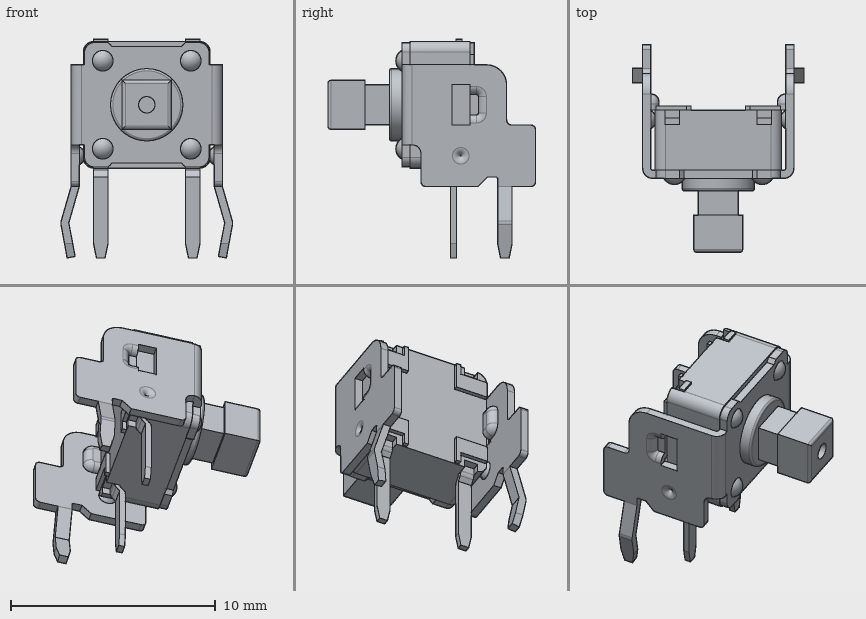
import cadquery as cq
import math


SHEET = 0.41
TOP = 3.21
BOTTOM = -7.49
TIP_LENGTH = 0.71
LEG_WIDTH = 0.72
LEG_TIP_WIDTH = 0.43

HOUSING_HALF = 3.1
HOUSING_CORNER = 0.54
HOUSING_REAR = 3.34
FOOT_REAR = 3.54
FOOT_OUTER_X = 3.04
FOOT_POST_X = 1.56
FOOT_INNER_X = 1.33
FOOT_POST_TOP = 3.04
FOOT_SHOULDER = 2.46
FOOT_LOWER_Z = 1.56
CONTACT_X = 2.25
CONTACT_SHEET = 0.3
CONTACT_FRONT = 2.64
CONTACT_STEP = 0.27
CONTACT_NOTCH_DEPTH = 0.43
STEP_TOP = -3.2
STEP_BOTTOM = -3.53
STEP_ROUND = 0.09

STAKE_PITCH = 4.3
STAKE_RADIUS = 0.5
STAKE_HEAD = 0.3

FRONT_HALF = 3.04
FRONT_CORNER = 0.47
RELIEF_OUTER = 1.88
RELIEF_INNER = 1.68
RELIEF_DEPTH = 0.2
SIDE_X = 3.7
BEND_OUTER = 0.5
SIDE_TOP = 1.96
SIDE_BOTTOM = -4.0
SIDE_UPPER_REAR = 5.13
SIDE_UPPER_CORNER = 1.0
SIDE_REAR = 6.54
SIDE_SHOULDER = -0.98
SIDE_CORNER = 0.25
SIDE_LOWER_FRONT = 0.93
SIDE_RELIEF_CORNER = 0.43
LEG_REAR = 5.39
GAP_TOP = -3.53
GAP_CORNER = 0.09
GAP_FRONT_TOP = 4.18
GAP_FRONT_BOTTOM = 3.71
KNEE_SPAN = 8.42
KNEE_X = KNEE_SPAN / 2
KNEE_Z = -5.77
TIP_X = 3.9

WINDOW_FRONT = 2.44
WINDOW_HALF = 0.98
TONGUE_REAR = 4.13
TONGUE_HALF = 0.89
TONGUE_CORNER = 0.48
TONGUE_BEND = 0.4

DIMPLE_Y = 2.88
DIMPLE_Z = -2.49
DISH_RADIUS = 0.41
DISH_FLOOR_RADIUS = 0.02
DOME_RADIUS = 0.45
DOME_HEIGHT = 0.27

FLANGE_RADIUS = 1.77
FLANGE_FRONT = -0.61
FLANGE_ROUND = 0.11
STEM_SIDE = 1.97
HEAD_SIDE = 2.4
HEAD_REAR = -1.8
HEAD_FRONT = -3.62
HEAD_ROUND = 0.15
HEAD_HOLE = 0.8
HEAD_HOLE_DEPTH = 0.32


def box(x, y, z):
    """Box between the given (low, high) limits."""
    return (
        cq.Workplane("XY")
        .box(x[1] - x[0], y[1] - y[0], z[1] - z[0], centered=False)
        .translate((x[0], y[0], z[0]))
    )


def front_prism(sketch, y_front, y_rear):
    """Extrude a sketch drawn on the XZ plane from y_front to y_rear."""
    return sketch.extrude(y_front - y_rear).translate((0, y_front, 0))


def mirrored(shape):
    """The shape and its mirror image across x = 0."""
    return shape.union(shape.mirror("YZ"))


def tapered_leg(plane, centre, top):
    """Sketch of a leg that narrows towards its tip, drawn on a vertical plane."""
    half = LEG_WIDTH / 2
    half_tip = LEG_TIP_WIDTH / 2
    taper_top = BOTTOM + TIP_LENGTH
    return cq.Workplane(plane).polyline([
        (centre - half, top),
        (centre - half, taper_top),
        (centre - half_tip, BOTTOM),
        (centre + half_tip, BOTTOM),
        (centre + half, taper_top),
        (centre + half, top),
    ]).close()


def dome_cap(base_radius, height):
    """Spherical cap on the plane y = 0, rising towards +Y."""
    sphere_radius = (base_radius**2 + height**2) / (2 * height)
    half_angle = math.asin(base_radius / sphere_radius) / 2
    middle = (
        sphere_radius * math.sin(half_angle),
        height - sphere_radius * (1 - math.cos(half_angle)),
    )
    profile = (
        cq.Workplane("XY")
        .lineTo(base_radius, 0)
        .threePointArc(middle, (0, height))
        .close()
    )
    return profile.revolve(360, (0, 0, 0), (0, 1, 0))


def front_plate():
    side = 2 * FRONT_HALF
    plate = front_prism(cq.Workplane("XZ").rect(side, side), 0, SHEET)
    plate = plate.edges("|Y").fillet(FRONT_CORNER)
    relief_sketch = cq.Workplane("XZ").polyline([
        (-RELIEF_OUTER, FRONT_HALF),
        (-RELIEF_INNER, FRONT_HALF - RELIEF_DEPTH),
        (RELIEF_INNER, FRONT_HALF - RELIEF_DEPTH),
        (RELIEF_OUTER, FRONT_HALF),
    ]).close()
    relief = front_prism(relief_sketch, 0, SHEET)
    return plate.cut(relief).cut(relief.mirror("XY"))


def side_outline():
    """Outline of a side plate, extruded across the whole bracket width."""
    leg_front = LEG_REAR - LEG_WIDTH
    turn = math.sqrt(0.5)
    upper_y = SIDE_UPPER_REAR - SIDE_UPPER_CORNER
    upper_z = SIDE_TOP - SIDE_UPPER_CORNER
    sketch = (
        cq.Workplane("YZ")
        .moveTo(0, SIDE_TOP)
        .lineTo(upper_y, SIDE_TOP)
        .threePointArc(
            (upper_y + SIDE_UPPER_CORNER * turn, upper_z + SIDE_UPPER_CORNER * turn),
            (SIDE_UPPER_REAR, upper_z),
        )
        .lineTo(SIDE_UPPER_REAR, SIDE_SHOULDER)
        .lineTo(SIDE_REAR, SIDE_SHOULDER)
        .lineTo(SIDE_REAR, SIDE_BOTTOM)
        .lineTo(leg_front, SIDE_BOTTOM)
        .lineTo(leg_front, GAP_TOP)
        .lineTo(GAP_FRONT_TOP, GAP_TOP)
        .lineTo(GAP_FRONT_BOTTOM, SIDE_BOTTOM)
        .lineTo(SIDE_LOWER_FRONT, SIDE_BOTTOM)
        .lineTo(SIDE_LOWER_FRONT, -SIDE_TOP)
        .lineTo(0, -SIDE_TOP)
        .close()
    )
    outline = sketch.extrude(SIDE_X, both=True)
    corners = [
        (SIDE_UPPER_REAR, SIDE_SHOULDER, SIDE_CORNER),
        (SIDE_REAR, SIDE_SHOULDER, SIDE_CORNER),
        (SIDE_REAR, SIDE_BOTTOM, SIDE_CORNER),
        (leg_front, GAP_TOP, GAP_CORNER),
        (SIDE_LOWER_FRONT, SIDE_BOTTOM, SIDE_CORNER),
        (SIDE_LOWER_FRONT, -SIDE_TOP, SIDE_RELIEF_CORNER),
    ]
    for y, z, radius in corners:
        outline = outline.edges(cq.NearestToPointSelector((0, y, z))).fillet(radius)
    return outline


def bent_channel():
    """Front wall and both side plates, bent from one sheet and trimmed to the side outline."""
    height = (SIDE_BOTTOM, SIDE_TOP)
    inner_x = SIDE_X - SHEET
    outer = box((-SIDE_X, SIDE_X), (0, SIDE_REAR), height).edges("|Z and <Y").fillet(BEND_OUTER)
    inner = box((-inner_x, inner_x), (SHEET, SIDE_REAR), height)
    inner = inner.edges("|Z and <Y").fillet(BEND_OUTER - SHEET)
    return outer.cut(inner).intersect(side_outline())


def tongue():
    """Left patch of sheet that is pressed inwards by one sheet thickness behind the window."""
    inner_x = -SIDE_X + SHEET
    floor_rear = TONGUE_REAR - TONGUE_BEND
    floor_half = TONGUE_HALF - TONGUE_BEND
    sheet = box((-SIDE_X, inner_x), (HOUSING_REAR, TONGUE_REAR + SHEET), (-WINDOW_HALF, WINDOW_HALF))
    pad = box((inner_x, inner_x + SHEET), (HOUSING_REAR, TONGUE_REAR), (-TONGUE_HALF, TONGUE_HALF))
    pad = pad.edges("|X and >Y").fillet(TONGUE_CORNER)
    pad = pad.faces(">X").edges("not <Y").fillet(TONGUE_BEND)
    pocket = box((-SIDE_X, inner_x), (HOUSING_REAR, floor_rear), (-floor_half, floor_half))
    pocket = pocket.edges("|X and >Y").fillet(TONGUE_CORNER - TONGUE_BEND)
    patch = sheet.union(pad).cut(pocket)
    margin = TONGUE_BEND / 10
    rim = cq.selectors.BoxSelector(
        (-SIDE_X - margin, HOUSING_REAR + margin, -floor_half - margin),
        (-SIDE_X + margin, floor_rear + margin, floor_half + margin),
    )
    return patch.edges(rim).fillet(TONGUE_BEND)


def bracket_leg():
    """Left leg, kinked outwards and back in so that it snaps into its hole."""
    outer_tip = (-TIP_X, BOTTOM)
    lean = math.atan2(KNEE_X - TIP_X, KNEE_Z - BOTTOM)
    inner_tip = (-TIP_X + SHEET * math.cos(lean), BOTTOM + SHEET * math.sin(lean))
    leg_centre = LEG_REAR - LEG_WIDTH / 2
    sketch = cq.Workplane("XZ").polyline([
        (-SIDE_X, SIDE_BOTTOM),
        (-KNEE_X, KNEE_Z),
        outer_tip,
        inner_tip,
        (-KNEE_X + SHEET, KNEE_Z),
        (-SIDE_X + SHEET, SIDE_BOTTOM),
    ]).close()
    leg = front_prism(sketch, LEG_REAR - LEG_WIDTH, LEG_REAR)
    leg = leg.edges(cq.NearestToPointSelector((-KNEE_X, leg_centre, KNEE_Z))).fillet(SHEET)
    taper = tapered_leg("YZ", leg_centre, SIDE_BOTTOM).extrude(KNEE_X, both=True)
    return leg.intersect(taper)


def on_left_dimple(shape, base_x):
    """Turn a shape built along +Y inwards onto the axis of the left dimple."""
    return shape.rotate((0, 0, 0), (0, 0, 1), -90).translate((base_x, DIMPLE_Y, DIMPLE_Z))


def dimple_dome():
    return on_left_dimple(dome_cap(DOME_RADIUS, DOME_HEIGHT), -SIDE_X + SHEET)


def dimple_dish():
    """Hollow of the left dimple: its wall rolls in from the outer face down to a small flat floor."""
    roll = DISH_RADIUS - DISH_FLOOR_RADIUS
    turn = math.sqrt(0.5)
    profile = (
        cq.Workplane("XY")
        .lineTo(DISH_RADIUS, 0)
        .threePointArc(
            (DISH_RADIUS - roll * turn, roll - roll * turn),
            (DISH_FLOOR_RADIUS, roll),
        )
        .lineTo(0, roll)
        .close()
    )
    return on_left_dimple(profile.revolve(360, (0, 0, 0), (0, 1, 0)), -SIDE_X)


def make_bracket():
    inner_x = -SIDE_X + SHEET
    window = box((-SIDE_X, inner_x), (WINDOW_FRONT, TONGUE_REAR + SHEET), (-WINDOW_HALF, WINDOW_HALF))
    bracket = front_plate().union(bent_channel())
    bracket = bracket.cut(mirrored(window))
    bracket = bracket.union(mirrored(tongue()))
    bracket = bracket.union(mirrored(dimple_dome())).cut(mirrored(dimple_dish()))
    bracket = bracket.union(mirrored(bracket_leg()))
    flange_hole = front_prism(cq.Workplane("XZ").circle(FLANGE_RADIUS), 0, SHEET)
    stake_holes = front_prism(
        cq.Workplane("XZ").rarray(STAKE_PITCH, STAKE_PITCH, 2, 2).circle(STAKE_RADIUS), 0, SHEET
    )
    return bracket.cut(flange_hole).cut(stake_holes)


def foot():
    """Upper left foot on the rear face: a low shoulder with a taller post at its inner end."""
    depth = (HOUSING_REAR, FOOT_REAR)
    shoulder = box((-FOOT_OUTER_X, -FOOT_INNER_X), depth, (FOOT_LOWER_Z, FOOT_SHOULDER))
    post = box((-FOOT_POST_X, -FOOT_INNER_X), depth, (FOOT_LOWER_Z, FOOT_POST_TOP))
    return shoulder.union(post)


def contact():
    """Left contact: a tab at the top and a leg at the bottom that steps forward."""
    rear = CONTACT_FRONT + CONTACT_SHEET
    sketch = cq.Workplane("YZ").polyline([
        (CONTACT_FRONT, TOP),
        (CONTACT_FRONT, STEP_TOP),
        (CONTACT_FRONT - CONTACT_STEP, STEP_BOTTOM),
        (CONTACT_FRONT - CONTACT_STEP, BOTTOM),
        (rear - CONTACT_STEP, BOTTOM),
        (rear - CONTACT_STEP, STEP_BOTTOM),
        (rear, STEP_TOP),
        (rear, TOP),
    ]).close()
    strip = sketch.extrude(-2 * CONTACT_X)
    for y, radius in ((CONTACT_FRONT, STEP_ROUND), (rear, STEP_ROUND + CONTACT_SHEET)):
        upper_bend = cq.NearestToPointSelector((-CONTACT_X, y, STEP_TOP))
        strip = strip.edges(upper_bend).fillet(radius)
    return strip.intersect(front_prism(tapered_leg("XZ", -CONTACT_X, TOP), 0, SIDE_REAR))


def stake():
    """Upper left stake: a shank through the bracket with a domed head."""
    shank = front_prism(cq.Workplane("XZ").circle(STAKE_RADIUS), 0, SHEET)
    head = dome_cap(STAKE_RADIUS, STAKE_HEAD).mirror("XZ")
    return shank.union(head).translate((-STAKE_PITCH / 2, 0, STAKE_PITCH / 2))


def make_housing():
    side = 2 * HOUSING_HALF
    housing = front_prism(cq.Workplane("XZ").rect(side, side), SHEET, HOUSING_REAR)
    housing = housing.edges("|Y").fillet(HOUSING_CORNER)
    contact_notch = box(
        (-CONTACT_X - LEG_WIDTH / 2, -CONTACT_X + LEG_WIDTH / 2),
        (CONTACT_FRONT, HOUSING_REAR),
        (HOUSING_HALF - CONTACT_NOTCH_DEPTH, HOUSING_HALF),
    )
    for notch in (contact_notch, contact_notch.mirror("XY")):
        housing = housing.cut(mirrored(notch))
    for detail in (foot(), stake()):
        housing = housing.union(mirrored(detail)).union(mirrored(detail.mirror("XY")))
    housing = housing.union(mirrored(contact()))
    return housing.cut(mirrored(dimple_dome()))


def make_button():
    flange = front_prism(cq.Workplane("XZ").circle(FLANGE_RADIUS), FLANGE_FRONT, SHEET)
    flange = flange.faces("<Y").edges().fillet(FLANGE_ROUND)
    stem = front_prism(cq.Workplane("XZ").rect(STEM_SIDE, STEM_SIDE), HEAD_REAR, FLANGE_FRONT)
    head = front_prism(cq.Workplane("XZ").rect(HEAD_SIDE, HEAD_SIDE), HEAD_FRONT, HEAD_REAR)
    head = head.faces("<Y").edges().fillet(HEAD_ROUND)
    hole = front_prism(cq.Workplane("XZ").circle(HEAD_HOLE / 2), HEAD_FRONT, HEAD_FRONT + HEAD_HOLE_DEPTH)
    return flange.union(stem).union(head).cut(hole)


bracket = make_bracket()
housing = make_housing()
button = make_button()
result = cq.Compound.makeCompound([
    housing.solids().val(),
    bracket.solids().val(),
    button.solids().val(),
])